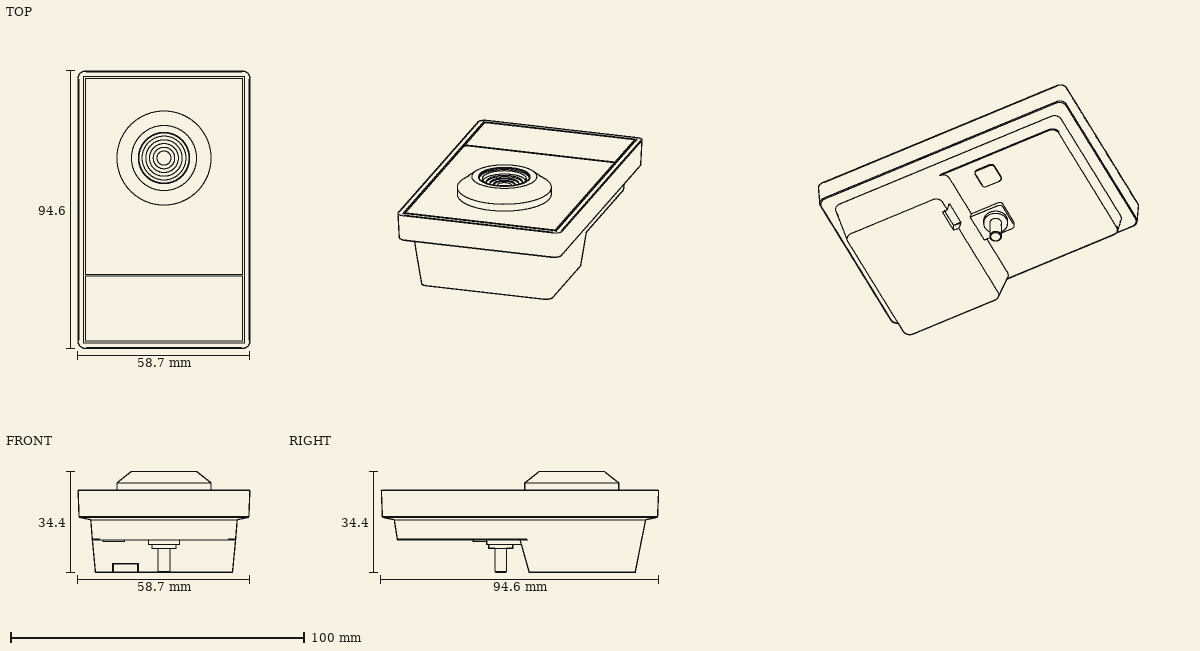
import cadquery as cq
import math


TOTAL_HEIGHT = 34.42

PANEL_X = 58.65
PANEL_Y = 94.58
PANEL_SIDE_HEIGHT = 9.37
PANEL_DRAFT = 2.2
PANEL_CORNER_RADIUS = 2.5
TOP_BEVEL_WIDTH = 0.35
TOP_BEVEL_HEIGHT = 0.12
BOTTOM_BEVEL = 0.3
UNDERSIDE_INSET = 3.7
UNDERSIDE_SLOPE = 0.2

GROOVE_INSET = 1.9
GROOVE_WIDTH = 0.65
GROOVE_DEPTH = 0.6
DIVIDER_Y = -22.3

BUTTON_Y = 17.65
BUTTON_RADIUS = 16.05
BUTTON_TOP_RADIUS = 11.1
BUTTON_RIM_HEIGHT = 2.5
BUTTON_HEIGHT = 6.4
LIP_RADIUS = 8.75
LIP_DEPTH = 0.3
DISH_RADIUS = 8.55
DISH_STEP = 1.27
DISH_LEVELS = (0.75, 1.95, 2.4, 2.8, 3.15, 4.15)

HOUSING_TOP_Z = -(PANEL_SIDE_HEIGHT + UNDERSIDE_INSET * UNDERSIDE_SLOPE)
HOUSING_BOTTOM_Z = -16.95
BASE_Z = BUTTON_HEIGHT - TOTAL_HEIGHT
HOUSING_CORNER_RADIUS = 2.5
BEVEL_END_Y = 2.2
BEVEL_HEIGHT = 0.35
BEVEL_WIDTH = 0.12
HOUSING_TOP = (25.0, -42.9, 42.9)
HOUSING_BOTTOM = (24.45, -41.8, 41.5)
BASE_TOP = (HOUSING_BOTTOM[0], 0.0, HOUSING_BOTTOM[2])
BASE_BOTTOM = (23.4, 3.1, 39.3)

NOTCH_X = -13.1
NOTCH_WIDTH = 8.3
NOTCH_TOP_Z = -25.27
NOTCH_BACK_Y = 5.0
NOTCH_DRAFT = 6.0

STUD_Y = -6.55
STUD_RADIUS = 2.0
STUD_CHAMFER = 0.3
COLLAR_RADIUS = 4.1
COLLAR_BOTTOM_Z = -19.9
PAD_HALF_X = 5.35
PAD_FRONT_Y = -11.4
PAD_BACK_Y = 1.0
PAD_BOTTOM_Z = -18.6
PAD_CORNER_RADIUS = 1.25

FOOT_SIZE = 7.3
FOOT_X = -17.15
FOOT_Y = -12.35
FOOT_HEIGHT = 0.6
FOOT_CORNER_RADIUS = 1.2


def rounded_wire(limits, z, radius):
    """Rounded rectangle at height z, symmetric in X."""
    half_x, y_min, y_max = limits
    block = (cq.Workplane("XY", origin=(0, (y_min + y_max) / 2, z))
             .rect(2 * half_x, y_max - y_min).extrude(1).edges("|Z").fillet(radius))
    return block.faces("<Z").val().outerWire()


def tapered_block(*levels, radius):
    """Stack of tapered layers through the (limits, z) levels, listed from the top down."""
    block = cq.Workplane()
    for (top, top_z), (bottom, bottom_z) in zip(levels, levels[1:]):
        wires = [rounded_wire(bottom, bottom_z, radius), rounded_wire(top, top_z, radius)]
        block = block.add(cq.Solid.makeLoft(wires, True))
    return block.combine()


def inset(limits, distance):
    """Limits drawn in by the same distance on all four sides."""
    half_x, y_min, y_max = limits
    return (half_x - distance, y_min + distance, y_max - distance)


def cylinder(radius, y, z_low, z_high):
    return cq.Workplane("XY", origin=(0, y, z_low)).circle(radius).extrude(z_high - z_low)


def make_panel():
    widest = (PANEL_X / 2, -PANEL_Y / 2, PANEL_Y / 2)
    side_bottom_z = BOTTOM_BEVEL - PANEL_SIDE_HEIGHT
    side_drop = -TOP_BEVEL_HEIGHT - side_bottom_z
    side_bottom = inset(widest, side_drop * math.tan(math.radians(PANEL_DRAFT)))
    bevel_bottom = inset(side_bottom, BOTTOM_BEVEL)
    return tapered_block(
        (inset(widest, TOP_BEVEL_WIDTH), 0),
        (widest, -TOP_BEVEL_HEIGHT),
        (side_bottom, side_bottom_z),
        (bevel_bottom, -PANEL_SIDE_HEIGHT),
        (inset(bevel_bottom, UNDERSIDE_INSET), HOUSING_TOP_Z),
        radius=PANEL_CORNER_RADIUS,
    )


def make_grooves():
    outer_x = PANEL_X - 2 * GROOVE_INSET
    outer_y = PANEL_Y - 2 * GROOVE_INSET
    plane = cq.Workplane("XY", origin=(0, 0, -GROOVE_DEPTH))
    frame = (plane.rect(outer_x, outer_y)
             .rect(outer_x - 2 * GROOVE_WIDTH, outer_y - 2 * GROOVE_WIDTH)
             .extrude(GROOVE_DEPTH))
    divider = plane.center(0, DIVIDER_Y).rect(outer_x - GROOVE_WIDTH, GROOVE_WIDTH).extrude(GROOVE_DEPTH)
    return frame.union(divider)


def make_button():
    profile = [(0, 0), (BUTTON_RADIUS, 0), (BUTTON_RADIUS, BUTTON_RIM_HEIGHT),
               (BUTTON_TOP_RADIUS, BUTTON_HEIGHT), (0, BUTTON_HEIGHT)]
    body = (cq.Workplane("XZ").polyline(profile).close()
            .revolve(360, (0, 0, 0), (0, 1, 0)).translate((0, BUTTON_Y, 0)))
    body = body.cut(cylinder(LIP_RADIUS, BUTTON_Y, BUTTON_HEIGHT - LIP_DEPTH, BUTTON_HEIGHT))
    for index, depth in enumerate(DISH_LEVELS):
        radius = DISH_RADIUS if index == 0 else LIP_RADIUS - index * DISH_STEP
        body = body.cut(cylinder(radius, BUTTON_Y, BUTTON_HEIGHT - depth, BUTTON_HEIGHT))
    return body


def make_upper_housing():
    """Tapered upper housing, its lower edge bevelled only in front of BEVEL_END_Y."""
    housing = tapered_block((HOUSING_TOP, HOUSING_TOP_Z), (HOUSING_BOTTOM, HOUSING_BOTTOM_Z),
                            radius=HOUSING_CORNER_RADIUS)
    rise = BEVEL_HEIGHT / (HOUSING_TOP_Z - HOUSING_BOTTOM_Z)
    bevel_top = [low + rise * (high - low) for low, high in zip(HOUSING_BOTTOM, HOUSING_TOP)]
    bevelled_rim = tapered_block(
        (bevel_top, HOUSING_BOTTOM_Z + BEVEL_HEIGHT),
        (inset(HOUSING_BOTTOM, BEVEL_WIDTH), HOUSING_BOTTOM_Z),
        radius=HOUSING_CORNER_RADIUS,
    )
    front_slab = (cq.Workplane("XY", origin=(0, BEVEL_END_Y - PANEL_Y / 2, HOUSING_BOTTOM_Z))
                  .rect(PANEL_X, PANEL_Y).extrude(BEVEL_HEIGHT))
    return housing.cut(front_slab.cut(bevelled_rim))


def make_base():
    base = tapered_block((BASE_TOP, HOUSING_BOTTOM_Z), (BASE_BOTTOM, BASE_Z),
                         radius=HOUSING_CORNER_RADIUS)
    notch_height = 2 * (NOTCH_TOP_Z - BASE_Z)
    notch = (cq.Workplane("XZ", origin=(NOTCH_X, NOTCH_BACK_Y, BASE_Z))
             .rect(NOTCH_WIDTH, notch_height).extrude(NOTCH_BACK_Y, taper=-NOTCH_DRAFT))
    return base.cut(notch)


def make_stud():
    pad_y = PAD_BACK_Y - PAD_FRONT_Y
    pad = (cq.Workplane("XY", origin=(0, PAD_FRONT_Y + pad_y / 2, PAD_BOTTOM_Z))
           .rect(2 * PAD_HALF_X, pad_y).extrude(HOUSING_BOTTOM_Z - PAD_BOTTOM_Z)
           .edges("|Z and <Y").fillet(PAD_CORNER_RADIUS))
    collar = cylinder(COLLAR_RADIUS, STUD_Y, COLLAR_BOTTOM_Z, PAD_BOTTOM_Z)
    stud = cylinder(STUD_RADIUS, STUD_Y, BASE_Z, COLLAR_BOTTOM_Z).faces("<Z").chamfer(STUD_CHAMFER)
    return pad.union(collar).union(stud)


def make_foot():
    return (cq.Workplane("XY", origin=(FOOT_X, FOOT_Y, HOUSING_BOTTOM_Z - FOOT_HEIGHT))
            .rect(FOOT_SIZE, FOOT_SIZE).extrude(FOOT_HEIGHT)
            .edges("|Z").fillet(FOOT_CORNER_RADIUS))


result = make_panel().cut(make_grooves()).union(make_button())
result = result.union(make_upper_housing()).union(make_base()).union(make_stud()).union(make_foot())